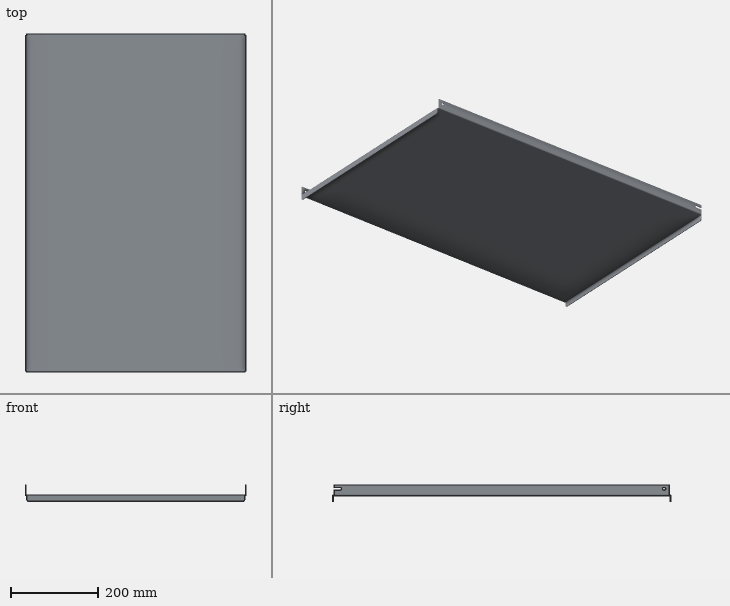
import cadquery as cq

width = 506.0
length = 775.0
height = 38.0

sheet = 1.9
bend_radius = 0.5
lip_drop = 15.0
panel_top = lip_drop - height / 2
panel_bottom = panel_top - sheet
outer_radius = bend_radius + sheet

corner_gap = 3.0
lip_corner_radius = 5.0

opening_height = 5.5
opening_z = height / 2 - 9.0
hole_length = 7.0
hole_inset = 12.5
slot_depth = 17.0

flange_length = length - 2 * corner_gap
lip_length = width - 2 * corner_gap
flange_end = flange_length / 2


def panel():
    return (
        cq.Workplane("XY", origin=(0, 0, panel_bottom))
        .rect(width - 2 * outer_radius, length - 2 * outer_radius)
        .extrude(sheet)
    )


def bent_edge(plane, edge, reach, bend_length):
    """Strip bent from the panel: reach is positive upward, negative downward.

    The strip's outer face lies at distance `edge` from the centre.
    """
    up = 1 if reach > 0 else -1
    outside = panel_bottom if up > 0 else panel_top
    inside = outside + up * sheet
    bend_start = edge - outer_radius
    bend_end = outside + up * outer_radius
    tip = outside + reach
    diagonal = 0.5 ** 0.5
    return (
        cq.Workplane(plane)
        .moveTo(bend_start, outside)
        .threePointArc(
            (bend_start + outer_radius * diagonal, bend_end - up * outer_radius * diagonal),
            (edge, bend_end),
        )
        .lineTo(edge, tip)
        .lineTo(edge - sheet, tip)
        .lineTo(edge - sheet, bend_end)
        .threePointArc(
            (bend_start + bend_radius * diagonal, bend_end - up * bend_radius * diagonal),
            (bend_start, inside),
        )
        .close()
        .extrude(bend_length / 2, both=True)
    )


def side_flanges():
    flange = bent_edge("XZ", width / 2, height / 2 - panel_bottom, flange_length)
    return flange.union(flange.mirror("YZ"))


def end_lips():
    lip = bent_edge("YZ", length / 2, -lip_drop, lip_length)
    lip = lip.faces("<Z").edges("|Y").fillet(lip_corner_radius)
    return lip.union(lip.mirror("XZ"))


def mounting_openings():
    """Closed holes near +Y and open-ended slots at -Y, through both flanges."""
    side = cq.Workplane("YZ")
    hole = (
        side.center(flange_end - hole_inset, opening_z)
        .slot2D(hole_length, opening_height)
        .extrude(width, both=True)
    )
    slot = (
        side.center(-flange_end, opening_z)
        .slot2D(2 * slot_depth, opening_height)
        .extrude(width, both=True)
    )
    return hole.union(slot)


result = panel().union(side_flanges()).union(end_lips()).cut(mounting_openings())